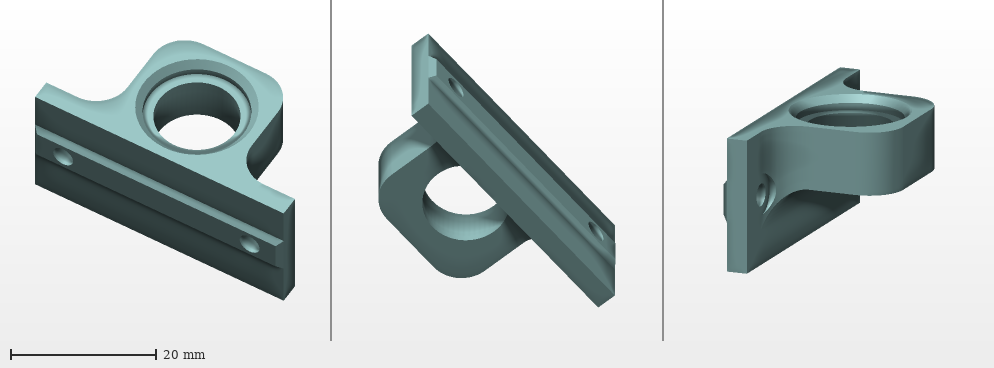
import cadquery as cq

plate_width = 40
plate_height = 19.0
plate_thickness = 3.0

block_width = 20
block_height = 9.0
block_back = 20
round_radius = 5.0
block_bottom = plate_height - block_height

bore_y = block_back - block_width / 2
bore_diameter = 12
seat_diameter = 15.0
seat_depth = 2
seat_chamfer = 1.0

rail_height = 6
rail_depth = 0.8
rail_z = 10

screw_spacing = 30
screw_diameter = 3.2
screw_head_diameter = 6


def make_bracket():
    """Cross the block's rounded plan outline with the L-shaped side profile."""
    half_plate = plate_width / 2
    half_block = block_width / 2
    plan = (
        cq.Workplane("XY")
        .moveTo(-half_plate, 0)
        .lineTo(half_plate, 0)
        .lineTo(half_plate, plate_thickness)
        .lineTo(half_block, plate_thickness)
        .lineTo(half_block, block_back)
        .lineTo(-half_block, block_back)
        .lineTo(-half_block, plate_thickness)
        .lineTo(-half_plate, plate_thickness)
        .close()
        .extrude(plate_height)
    )
    block_corners = cq.selectors.BoxSelector(
        (-half_block - 0.4, plate_thickness - 0.4, 0),
        (half_block + 0.4, block_back + 0.4, plate_height),
    )
    plan = plan.edges("|Z").edges(block_corners).fillet(round_radius)

    side = (
        cq.Workplane("YZ")
        .lineTo(plate_thickness, 0)
        .lineTo(plate_thickness, block_bottom - round_radius)
        .radiusArc((plate_thickness + round_radius, block_bottom), round_radius)
        .lineTo(block_back, block_bottom)
        .lineTo(block_back, plate_height)
        .lineTo(0, plate_height)
        .close()
        .extrude(half_plate, both=True)
    )
    return plan.intersect(side)


def make_rail():
    """Full-width rail whose four sides slope inward to its outer face."""
    return (
        cq.Workplane("XZ", origin=(0, 0, rail_z))
        .rect(plate_width, rail_height)
        .extrude(rail_depth, taper=45)
    )


def make_bore():
    """Through bore with a chamfered bearing seat at the top."""
    top = cq.Workplane("XY", origin=(0, bore_y, plate_height))
    bore = top.circle(bore_diameter / 2).extrude(-plate_height)
    seat = top.circle(seat_diameter / 2).extrude(-seat_depth)
    chamfer = top.circle(seat_diameter / 2 + seat_chamfer).extrude(-seat_chamfer, taper=45)
    return bore.union(seat).union(chamfer)


def make_screw_cut(x):
    """Screw hole, with room for its head where the block's fillets meet the plate."""
    hole = (
        cq.Workplane("XZ", origin=(x, -rail_depth, rail_z))
        .circle(screw_diameter / 2)
        .extrude(-(rail_depth + plate_thickness))
    )
    head_room = (
        cq.Workplane("XZ", origin=(x, plate_thickness, rail_z))
        .circle(screw_head_diameter / 2)
        .extrude(-(block_back - plate_thickness))
    )
    return hole.union(head_room)


result = make_bracket().union(make_rail()).cut(make_bore())
for screw_x in (-screw_spacing / 2, screw_spacing / 2):
    result = result.cut(make_screw_cut(screw_x))